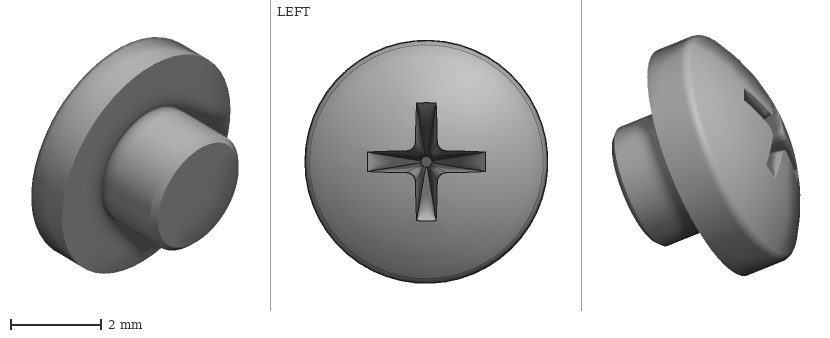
import cadquery as cq
import math


HEAD_RADIUS = 2.69
HEAD_HEIGHT = 1.9
DOME_RADIUS = 4.33
RIM_FILLET = 0.25

SHANK_RADIUS = 1.42
SHANK_LENGTH = 1.6
SHANK_CHAMFER = 0.13

RECESS_DEPTH = 1.6
ARM_REACH = 1.48
ARM_HALF_WIDTH = 0.245
CORNER_RADIUS = 0.2
FLOOR_RADIUS = 0.123
ARM_COUNT = 4


def make_head():
    """Revolved domed disc whose rim rounding is tangent to the dome and to the side wall."""
    sphere_centre = DOME_RADIUS - HEAD_HEIGHT
    rim_centre_radius = HEAD_RADIUS - RIM_FILLET
    dome_angle = math.asin(rim_centre_radius / (DOME_RADIUS - RIM_FILLET))
    rim_centre_x = sphere_centre - (DOME_RADIUS - RIM_FILLET) * math.cos(dome_angle)

    def dome_point(angle):
        return (sphere_centre - DOME_RADIUS * math.cos(angle), DOME_RADIUS * math.sin(angle))

    rim_middle_angle = (dome_angle + math.pi / 2) / 2
    rim_middle = (
        rim_centre_x - RIM_FILLET * math.cos(rim_middle_angle),
        rim_centre_radius + RIM_FILLET * math.sin(rim_middle_angle),
    )
    return (
        cq.Workplane("XY")
        .lineTo(-HEAD_HEIGHT, 0)
        .threePointArc(dome_point(dome_angle / 2), dome_point(dome_angle))
        .threePointArc(rim_middle, (rim_centre_x, HEAD_RADIUS))
        .lineTo(0, HEAD_RADIUS)
        .close()
        .revolve(360, (0, 0, 0), (1, 0, 0))
    )


def make_shank():
    """Plain cylinder with a chamfered free end."""
    shank = cq.Workplane("YZ").circle(SHANK_RADIUS).extrude(SHANK_LENGTH)
    return shank.faces(">X").chamfer(SHANK_CHAMFER)


def turned(point, quarter):
    """Rotate a (y, z) point about the axis by a number of arm steps."""
    angle = quarter * 2 * math.pi / ARM_COUNT
    y, z = point
    return (y * math.cos(angle) - z * math.sin(angle), y * math.sin(angle) + z * math.cos(angle))


def floor_point(angle):
    return (FLOOR_RADIUS * math.cos(angle), FLOOR_RADIUS * math.sin(angle))


def cross_outline(plane):
    """Four arms with rounded inner corners."""
    corner_centre = ARM_HALF_WIDTH + CORNER_RADIUS
    corner_middle = corner_centre - CORNER_RADIUS * math.sqrt(0.5)
    outline = plane.moveTo(ARM_REACH, -ARM_HALF_WIDTH)
    for quarter in range(ARM_COUNT):
        outline = (
            outline.lineTo(*turned((ARM_REACH, ARM_HALF_WIDTH), quarter))
            .lineTo(*turned((corner_centre, ARM_HALF_WIDTH), quarter))
            .threePointArc(
                turned((corner_middle, corner_middle), quarter),
                turned((ARM_HALF_WIDTH, corner_centre), quarter),
            )
            .lineTo(*turned((ARM_HALF_WIDTH, ARM_REACH), quarter))
        )
    return outline.close()


def floor_outline(plane):
    """Circle split at the same angles as the corners of the cross."""
    end_angle = math.atan2(ARM_HALF_WIDTH, ARM_REACH)
    corner_angle = math.atan2(ARM_HALF_WIDTH, ARM_HALF_WIDTH + CORNER_RADIUS)
    arm_step = 2 * math.pi / ARM_COUNT
    split_angles = [-end_angle, end_angle, corner_angle, arm_step - corner_angle, arm_step - end_angle]
    outline = plane.moveTo(*floor_point(-end_angle))
    for quarter in range(ARM_COUNT):
        for start, end in zip(split_angles, split_angles[1:]):
            middle = (start + end) / 2
            outline = outline.threePointArc(
                turned(floor_point(middle), quarter), turned(floor_point(end), quarter)
            )
    return outline.close()


def make_recess():
    """Ruled loft from the cross at the apex plane down to the round floor."""
    apex_plane = cq.Workplane("YZ", origin=(-HEAD_HEIGHT, 0, 0))
    floor_plane = cq.Workplane("YZ", origin=(RECESS_DEPTH - HEAD_HEIGHT, 0, 0))
    cross = cross_outline(apex_plane).wire().val()
    floor = floor_outline(floor_plane).wire().val()
    return cq.Workplane("XY").add(cq.Solid.makeLoft([cross, floor], True))


result = make_head().union(make_shank()).cut(make_recess())